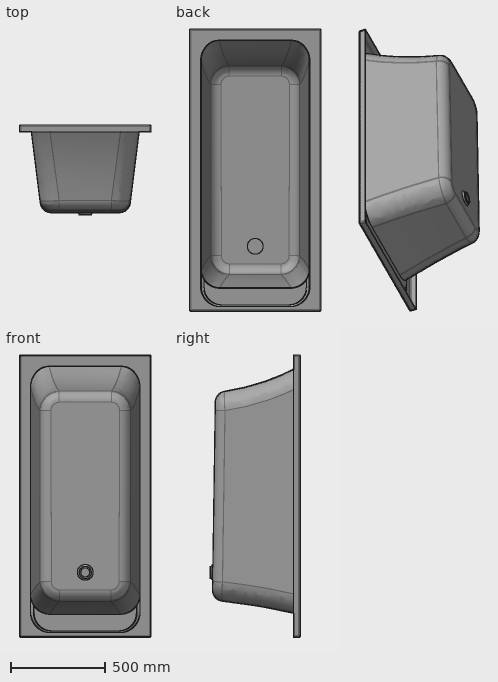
import cadquery as cq


SHEET = 5.0
RIM_WIDTH = 700.0
RIM_LENGTH = 1500.0
RIM_DEPTH = 36.5
RIM_CORNER = 10.0
RIM_EDGE = 9.0

TUB_HALF_WIDTH = 291.0
SIDE_SLOPE = 0.125
HEAD_TOP_Z = 692.0
HEAD_MID_Y = -210.0
HEAD_MID_Z = 602.0
HEAD_LOW_Y = -470.0
HEAD_LOW_Z = 548.0
FOOT_TOP_Z = -630.0
FOOT_MID_Y = -210.0
FOOT_MID_Z = -587.0
FOOT_LOW_Y = -485.0
FOOT_LOW_Z = -551.0
FLOOR_MID_Y = -459.5
FLOOR_FALL = 0.0147
WALL_CORNER = 104.0
FLOOR_FILLET = 60.0

LEDGE_DEPTH = 5.0
LEDGE_FOOT_Z = -725.0
LEDGE_SIDE_RUN = 15.0
LEDGE_FOOT_RUN = 10.0
LEDGE_CORNER = 105.0

TOTAL_DEPTH = 479.0
DRAIN_Z = -405.0
DRAIN_BASE_RADIUS = 42.0
DRAIN_END_RADIUS = 32.0
DRAIN_COLLAR = 5.0
DRAIN_RECESS_RADIUS = 24.0
DRAIN_RECESS_DEPTH = 2.0


def floor_y(z):
    """Height of the sloping tub floor at a given place along the bath."""
    return FLOOR_MID_Y + FLOOR_FALL * z


def slab(length, width, corner, top_y, depth):
    """Rectangular block with rounded corners, going down from top_y."""
    block = cq.Workplane("XZ", origin=(0, top_y, 0)).rect(width, length).extrude(depth)
    return block.edges("|Y").fillet(corner)


def make_rim():
    """Flat rim with a skirt turned down along all four sides."""
    outer = slab(RIM_LENGTH, RIM_WIDTH, RIM_CORNER, 0, RIM_DEPTH)
    outer = outer.faces(">Y").edges().fillet(RIM_EDGE)
    inner = slab(
        RIM_LENGTH - 2 * SHEET,
        RIM_WIDTH - 2 * SHEET,
        RIM_CORNER - SHEET,
        -SHEET,
        RIM_DEPTH,
    )
    inner = inner.faces(">Y").edges().fillet(RIM_EDGE - SHEET)
    return outer.cut(inner)


def make_tub(inset):
    """Solid tub shape, with its walls and floor moved inwards by inset."""
    half = RIM_LENGTH / 2
    bottom_y = -TOTAL_DEPTH - FLOOR_FILLET
    side_profile = (
        cq.Workplane("YZ", origin=(-TUB_HALF_WIDTH, 0, 0))
        .moveTo(0, HEAD_TOP_Z - inset)
        .threePointArc((HEAD_MID_Y, HEAD_MID_Z - inset), (HEAD_LOW_Y, HEAD_LOW_Z - inset))
        .lineTo(bottom_y, HEAD_LOW_Z - inset)
        .lineTo(bottom_y, FOOT_LOW_Z + inset)
        .lineTo(FOOT_LOW_Y, FOOT_LOW_Z + inset)
        .threePointArc((FOOT_MID_Y, FOOT_MID_Z + inset), (0, FOOT_TOP_Z + inset))
        .close()
        .extrude(2 * TUB_HALF_WIDTH)
    )
    top_half = TUB_HALF_WIDTH - inset
    low_half = top_half + SIDE_SLOPE * bottom_y
    cross_section = (
        cq.Workplane("XY", origin=(0, 0, -half))
        .polyline([(-top_half, 0), (top_half, 0), (low_half, bottom_y), (-low_half, bottom_y)])
        .close()
        .extrude(RIM_LENGTH)
    )
    above_floor = (
        cq.Workplane("YZ", origin=(-TUB_HALF_WIDTH, 0, 0))
        .polyline([
            (0, half),
            (floor_y(half) + inset, half),
            (floor_y(-half) + inset, -half),
            (0, -half),
        ])
        .close()
        .extrude(2 * TUB_HALF_WIDTH)
    )
    tub = side_profile.intersect(cross_section).intersect(above_floor)
    tub = tub.edges("%ELLIPSE").fillet(WALL_CORNER - inset)
    return tub.faces("<Y").edges().fillet(FLOOR_FILLET - inset)


def make_ledge(top_y, top_half_width):
    """Shallow dished ledge reaching from the middle of the bath to the foot end."""
    def outline(y, half_width, foot_z, corner):
        return (
            cq.Workplane("XZ", origin=(0, y, 0))
            .moveTo(-half_width, 0)
            .lineTo(-half_width, foot_z + corner)
            .radiusArc((-half_width + corner, foot_z), -corner)
            .lineTo(half_width - corner, foot_z)
            .radiusArc((half_width, foot_z + corner), -corner)
            .lineTo(half_width, 0)
            .close()
            .val()
        )

    upper = outline(top_y, top_half_width, LEDGE_FOOT_Z, LEDGE_CORNER)
    lower = outline(
        top_y - LEDGE_DEPTH,
        top_half_width - LEDGE_SIDE_RUN,
        LEDGE_FOOT_Z + LEDGE_FOOT_RUN,
        LEDGE_CORNER - LEDGE_FOOT_RUN,
    )
    return cq.Workplane(cq.Solid.makeLoft([upper, lower], True))


def make_drain():
    """Closed drain boss under the floor: a cone, a short collar and a shallow recess."""
    base_y = floor_y(DRAIN_Z - DRAIN_BASE_RADIUS) + SHEET / 2
    cone_end_y = -TOTAL_DEPTH + DRAIN_COLLAR
    recess_y = -TOTAL_DEPTH + DRAIN_RECESS_DEPTH
    return (
        cq.Workplane("XY", origin=(0, 0, DRAIN_Z))
        .moveTo(0, base_y)
        .lineTo(DRAIN_BASE_RADIUS, base_y)
        .lineTo(DRAIN_BASE_RADIUS, floor_y(DRAIN_Z))
        .lineTo(DRAIN_END_RADIUS, cone_end_y)
        .lineTo(DRAIN_END_RADIUS, -TOTAL_DEPTH)
        .lineTo(DRAIN_RECESS_RADIUS, -TOTAL_DEPTH)
        .lineTo(DRAIN_RECESS_RADIUS, recess_y)
        .lineTo(0, recess_y)
        .close()
        .revolve(360, (0, 0, 0), (0, 1, 0))
    )


ledge_outside = make_ledge(-SHEET, TUB_HALF_WIDTH - SHEET * SIDE_SLOPE)
ledge_inside = make_ledge(0, TUB_HALF_WIDTH - SHEET)

bath = make_rim().union(make_tub(0)).union(ledge_outside)
bath = bath.cut(make_tub(SHEET)).cut(ledge_inside)
result = bath.union(make_drain())